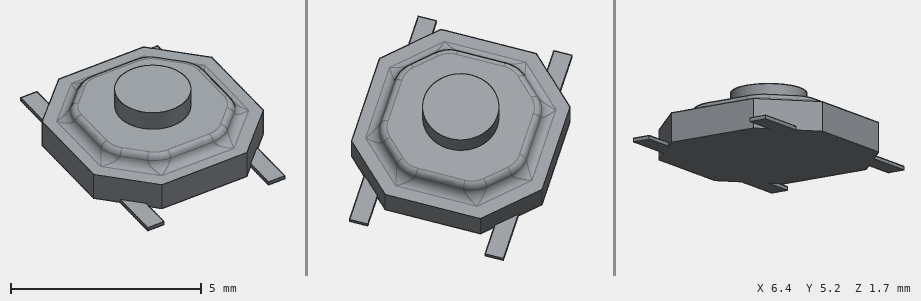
import cadquery as cq

flat_to_width = 0.5

housing_width = 5.2
housing_height = 0.8

cover_wall_width = 3.94
cover_height = 0.35
foot_radius = 0.3
corner_radius = 0.85
rim_radius = 0.2

button_diameter = 2.0
total_height = 1.7

lead_span = 6.4
lead_width = 0.5
lead_thickness = 0.1
lead_pitch = 3.7

cover_foot_width = cover_wall_width + 2 * foot_radius
cover_top = housing_height + cover_height

pick_margin = 0.01


def octagon_prism(width, height):
    """Octagonal prism standing on Z = 0."""
    w = width / 2
    f = w * flat_to_width
    corners = [(f, w), (w, f), (w, -f), (f, -w), (-f, -w), (-w, -f), (-w, f), (-f, w)]
    return cq.Workplane("XY").polyline(corners).close().extrude(height)


def edges_inside(width, z_low, z_high):
    """Selector for edges wholly within a centred square of the given width and a Z range."""
    reach = width / 2 + pick_margin
    low_corner = (-reach, -reach, z_low - pick_margin)
    high_corner = (reach, reach, z_high + pick_margin)
    return cq.selectors.BoxSelector(low_corner, high_corner, boundingbox=True)


def make_housing_and_cover():
    """Housing with the cover blended smoothly onto its top face."""
    housing = octagon_prism(housing_width, housing_height)
    body = housing.union(octagon_prism(cover_wall_width, cover_top))

    foot = edges_inside(cover_wall_width, housing_height, housing_height)
    body = body.edges(foot).fillet(foot_radius)

    cover_side = edges_inside(cover_foot_width, housing_height, cover_top)
    body = body.edges(cover_side).edges("|Z or %ELLIPSE").fillet(corner_radius)

    return body.faces(">Z").edges().fillet(rim_radius)


def make_button():
    """Round push button standing on the cover."""
    button = cq.Workplane("XY").workplane(offset=cover_top).circle(button_diameter / 2)
    return button.extrude(total_height - cover_top)


def make_leads():
    """Both lead strips, flush with the bottom of the housing."""
    strips = cq.Workplane("XY").pushPoints([(0, -lead_pitch / 2), (0, lead_pitch / 2)])
    return strips.rect(lead_span, lead_width).extrude(lead_thickness)


result = make_housing_and_cover().union(make_button()).union(make_leads())